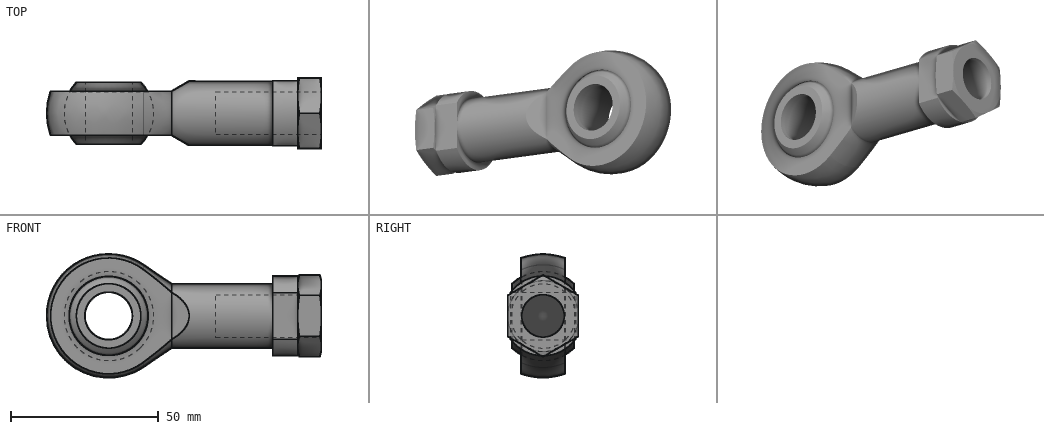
import cadquery as cq
import math

head_radius = 21.0
head_thickness = 15.0
neck_x = 21.33
shank_diameter = 21.82
neck_ramp_angle = 30.0

ball_width = 21.0
ball_bore_diameter = 16.0
ball_face_diameter = 21.82
socket_rim_diameter = 26.8
socket_rim_depth = 0.3

collar_diameter = 27.0
collar_length = 8.5
collar_across_flats = 22.0
shank_end_x = 64.0

hexagon_across_flats = 24.0
hexagon_length = 8.0
hexagon_chamfer_angle = 16.0

thread_core_diameter = 14.38
thread_depth = 28.0

shank_radius = shank_diameter / 2
collar_start_x = shank_end_x - collar_length
hexagon_end_x = shank_end_x + hexagon_length
bore_start_x = shank_end_x - thread_depth

ball_radius = math.hypot(ball_face_diameter, ball_width) / 2

neck_end_angle = math.atan2(shank_radius, neck_x)
tangent_angle = neck_end_angle + math.acos(head_radius / math.hypot(neck_x, shank_radius))
tangent_x = head_radius * math.cos(tangent_angle)
tangent_z = head_radius * math.sin(tangent_angle)

relief_reach = 1.5 * head_radius
ramp_length = (relief_reach - head_thickness / 2) / math.tan(math.radians(neck_ramp_angle))


def x_cylinder(diameter, start_x, end_x):
    """Cylinder on the X axis between two X positions."""
    return cq.Workplane("YZ").workplane(offset=start_x).circle(diameter / 2).extrude(end_x - start_x)


def y_sphere(radius):
    """Sphere about the origin with its poles on the Y axis."""
    profile = cq.Workplane("XY").moveTo(0, -radius).threePointArc((radius, 0), (0, radius)).close()
    return profile.revolve(360, (0, 0, 0), (0, 1, 0))


def make_head_and_shank():
    """Spherical head, tangent cone and shank, cut flat on both sides of the eye."""
    body = (
        cq.Workplane("XZ")
        .moveTo(-head_radius, 0)
        .threePointArc((0, head_radius), (tangent_x, tangent_z))
        .lineTo(neck_x, shank_radius)
        .lineTo(shank_end_x, shank_radius)
        .lineTo(shank_end_x, 0)
        .close()
        .revolve(360, (0, 0, 0), (1, 0, 0))
    )
    half_thickness = head_thickness / 2
    for side in (-1, 1):
        relief = (
            cq.Workplane("XY")
            .moveTo(-relief_reach, side * half_thickness)
            .lineTo(neck_x, side * half_thickness)
            .lineTo(neck_x + ramp_length, side * relief_reach)
            .lineTo(-relief_reach, side * relief_reach)
            .close()
            .extrude(relief_reach, both=True)
        )
        body = body.cut(relief)
    return body


def make_collar():
    """Round collar with two wrench flats facing -Y and +Y."""
    flats = cq.Workplane("XY").box(collar_length, collar_across_flats, collar_diameter)
    flats = flats.translate((collar_start_x + collar_length / 2, 0, 0))
    return x_cylinder(collar_diameter, collar_start_x, shank_end_x).intersect(flats)


def make_hexagon_end():
    """Hexagon with two faces square to Y, its corners chamfered at both ends."""
    corner_radius = hexagon_across_flats / 2 / math.cos(math.pi / 6)
    face_radius = hexagon_across_flats / 2
    chamfer_length = (corner_radius - face_radius) * math.tan(math.radians(hexagon_chamfer_angle))
    hexagon = (
        cq.Workplane("YZ")
        .workplane(offset=shank_end_x)
        .polygon(6, 2 * corner_radius)
        .extrude(hexagon_length)
        .rotate((0, 0, 0), (1, 0, 0), 30)
    )
    envelope = (
        cq.Workplane("XZ")
        .moveTo(shank_end_x, 0)
        .lineTo(shank_end_x, face_radius)
        .lineTo(shank_end_x + chamfer_length, corner_radius)
        .lineTo(hexagon_end_x - chamfer_length, corner_radius)
        .lineTo(hexagon_end_x, face_radius)
        .lineTo(hexagon_end_x, 0)
        .close()
        .revolve(360, (0, 0, 0), (1, 0, 0))
    )
    return hexagon.intersect(envelope)


def make_socket_rims():
    """Shallow round recesses that widen the mouth of the ball socket on both head faces."""
    rim = (
        cq.Workplane("XZ")
        .workplane(offset=head_thickness / 2 - socket_rim_depth)
        .circle(socket_rim_diameter / 2)
        .extrude(socket_rim_depth)
    )
    return rim.union(rim.mirror("XZ"))


def make_housing():
    """Rod end housing with its hexagon end, ball socket and blind thread bore."""
    body = make_head_and_shank().union(make_collar()).union(make_hexagon_end())
    threaded_bore = x_cylinder(thread_core_diameter, bore_start_x, hexagon_end_x)
    return body.cut(y_sphere(ball_radius)).cut(make_socket_rims()).cut(threaded_bore)


def make_ball():
    """Sphere cut to width by two flat faces, with a pin bore along Y."""
    slab_side = 3 * ball_radius
    slab = cq.Workplane("XY").box(slab_side, ball_width, slab_side)
    bore = cq.Workplane("XZ").circle(ball_bore_diameter / 2).extrude(ball_width, both=True)
    return y_sphere(ball_radius).intersect(slab).cut(bore)


housing = make_housing()
ball = make_ball()
result = cq.Compound.makeCompound([housing.solids().val(), ball.solids().val()])